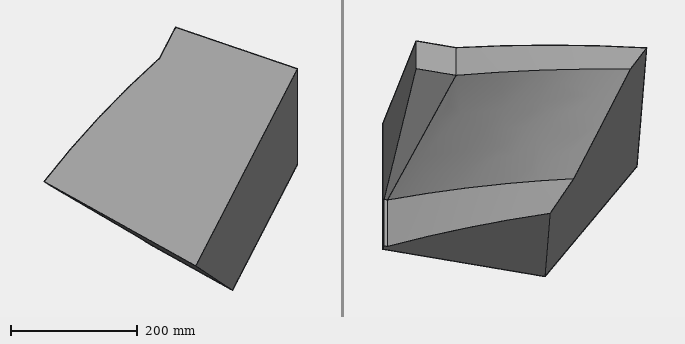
import cadquery as cq
import math

length = 414.78
height = 260.0
front_width = 284.15

front_corner_y = 58.3
front_lean = 30.0

rear_top_width = 208.7
rear_bottom_width = 8.7
upper_wall_foot_rear = 202.5
lower_wall_head_rear = 96.0

upper_wall_front = (-front_width, front_corner_y)
upper_wall_rear = (-rear_top_width, 349.7)
upper_wall_radius = 1750.0
lower_wall_front = (-178.5, 127.0)
lower_wall_rear = (-rear_bottom_width, 409.2)
lower_wall_radius = 1600.0

upper_wall_foot_front = 215.0
lower_wall_head_front = 62.5

flank_overlap = 0.05
flank_stations = 9


def arc_point(start, end, radius, fraction):
    """Point at a fraction of the arc from start to end, bulging to the left of travel."""
    chord_x = end[0] - start[0]
    chord_y = end[1] - start[1]
    chord = math.hypot(chord_x, chord_y)
    half_angle = math.asin(chord / (2 * radius))
    angle = half_angle * (2 * fraction - 1)
    along = chord / 2 + radius * math.sin(angle)
    bulge = radius * (math.cos(angle) - math.cos(half_angle))
    return (
        start[0] + (along * chord_x - bulge * chord_y) / chord,
        start[1] + (along * chord_y + bulge * chord_x) / chord,
    )


def wall_prism(front, rear, radius):
    """Full-height prism from the flat side out to a curved wall."""
    return (
        cq.Workplane("XY")
        .moveTo(0, 0)
        .lineTo(*front)
        .threePointArc(arc_point(front, rear, radius, 0.5), rear)
        .lineTo(rear[0], length)
        .lineTo(0, length)
        .close()
        .extrude(height)
    )


def rear_undercut():
    """Space under the flat rear flank, which begins on the slanted line between the wall ends."""
    space = (
        cq.Workplane("XZ", origin=(0, length, 0))
        .moveTo(-rear_bottom_width, 0)
        .lineTo(-rear_bottom_width, lower_wall_head_rear)
        .lineTo(-rear_top_width, upper_wall_foot_rear)
        .lineTo(-rear_top_width, 0)
        .close()
        .extrude(length)
    )
    footprint = (
        cq.Workplane("XY")
        .moveTo(*upper_wall_rear)
        .lineTo(*lower_wall_rear)
        .lineTo(-rear_bottom_width, length)
        .lineTo(-rear_top_width, length)
        .close()
        .extrude(height)
    )
    return space.intersect(footprint)


def flank_point(fraction, across):
    """Point on the flank: fraction runs front to rear, across runs upper wall to lower wall."""
    upper_x, upper_y = arc_point(upper_wall_front, upper_wall_rear, upper_wall_radius, fraction)
    lower_x, lower_y = arc_point(lower_wall_front, lower_wall_rear, lower_wall_radius, fraction)
    upper_z = upper_wall_foot_front + fraction * (upper_wall_foot_rear - upper_wall_foot_front)
    lower_z = lower_wall_head_front + fraction * (lower_wall_head_rear - lower_wall_head_front)
    return cq.Vector(
        upper_x + across * (lower_x - upper_x),
        upper_y + across * (lower_y - upper_y),
        upper_z + across * (lower_z - upper_z),
    )


def flank_edge(across):
    """Smooth curve along the flank at a constant share of its width."""
    points = [flank_point(i / (flank_stations - 1), across) for i in range(flank_stations)]
    return cq.Edge.makeSpline(points)


def flank_undercut(lower_prism):
    """Space under the twisted flank, outside the lower wall."""
    flank = cq.Face.makeRuledSurface(flank_edge(-flank_overlap), flank_edge(1 + flank_overlap))
    below_flank = cq.Workplane(cq.Solid.extrudeLinear(flank, cq.Vector(0, 0, -height)))
    return below_flank.cut(lower_prism)


def front_trim():
    """Material ahead of the leaning front face, run along its swept-back top edge."""
    lean_depth = height * math.tan(math.radians(front_lean))
    profile = [
        cq.Vector(0, 0, height),
        cq.Vector(0, lean_depth, 0),
        cq.Vector(0, -length, 0),
        cq.Vector(0, -length, height),
    ]
    outline = cq.Wire.makePolygon(profile, close=True)
    return cq.Workplane(cq.Solid.extrudeLinear(outline, [], cq.Vector(-front_width, front_corner_y, 0)))


upper_prism = wall_prism(upper_wall_front, upper_wall_rear, upper_wall_radius)
lower_prism = wall_prism(lower_wall_front, lower_wall_rear, lower_wall_radius)

result = (
    upper_prism
    .cut(flank_undercut(lower_prism))
    .cut(rear_undercut())
    .cut(front_trim())
    .clean()
)